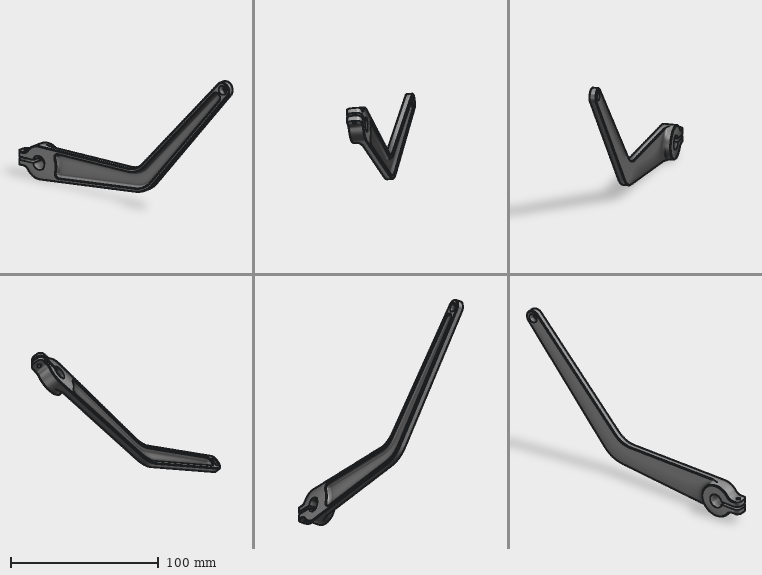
import cadquery as cq
import math


length = 183.5
height = 101.7
clamp_thickness = 10.5
arm_thickness = 5.0
edge_break = 0.5

boss_radius = 12.0
bore_radius = 5.0
lug_reach = 18.9
lug_half_height = 4.8
lug_blend_radius = 4.8
lug_end_radius = 3.9
slot_width = 2.2
screw_diameter = 2.5
screw_inset = 3.9
boss_base_fillet = 2.0

tip_radius = 5.5
tip_hole_radius = 3.1
tip_x = length - lug_reach - tip_radius
tip_z = height - boss_radius - tip_radius
upper_angle = 47.0
lower_far_angle = 49.8
lower_near_angle = 5.6
inner_bend_radius = 17.5
outer_bend_radius = 23.3

pocket_inset = 2.8
pocket_depth = 3.0
pocket_upright_wall = 0.04
pocket_floor_fillet = pocket_depth - edge_break - pocket_upright_wall
pocket_corner_radius = 2.8
pocket_boss_gap = 15.0
pocket_tip_setback = 8.0


def direction(angle):
    return math.cos(math.radians(angle)), math.sin(math.radians(angle))


def along(point, angle, distance):
    dx, dz = direction(angle)
    return point[0] + distance * dx, point[1] + distance * dz


def crossing(p, p_angle, q, q_angle):
    """Point where the line through p meets the line through q."""
    px, pz = direction(p_angle)
    qx, qz = direction(q_angle)
    distance = ((q[0] - p[0]) * qz - (q[1] - p[1]) * qx) / (px * qz - pz * qx)
    return along(p, p_angle, distance)


def bend(corner, in_angle, out_angle, radius):
    """Start, middle and end of the arc that rounds a left-turning corner."""
    half_turn = math.radians(out_angle - in_angle) / 2
    tangent = radius * math.tan(half_turn)
    to_middle = radius * (1 / math.cos(half_turn) - 1)
    middle = along(corner, (in_angle + out_angle) / 2 + 90, to_middle)
    return along(corner, in_angle, -tangent), middle, along(corner, out_angle, tangent)


def prism(sketch, thickness):
    """Extrude an XZ sketch from the front face towards +Y."""
    return sketch.close().extrude(-thickness)


def arm_prism(inset, tip_setback, thickness):
    """The arm outline moved inwards by inset, its tip round moved back along the arm."""
    start_radius = boss_radius - inset
    axis_angle = (upper_angle + lower_far_angle) / 2
    half_taper = math.radians(lower_far_angle - upper_angle) / 2
    tip = along((tip_x, tip_z), axis_angle, -tip_setback)
    end_radius = tip_radius - inset + tip_setback * math.sin(half_taper)

    top_start = (0, start_radius)
    bottom_start = along((0, 0), lower_near_angle - 90, start_radius)
    upper_tip = along(tip, upper_angle + 90, end_radius)
    lower_tip = along(tip, lower_far_angle - 90, end_radius)

    inner_corner = crossing(top_start, 0, upper_tip, upper_angle)
    outer_corner = crossing(bottom_start, lower_near_angle, lower_tip, lower_far_angle)
    inner = bend(inner_corner, 0, upper_angle, inner_bend_radius + inset)
    outer = bend(outer_corner, lower_near_angle, lower_far_angle, outer_bend_radius - inset)

    sketch = (
        cq.Workplane("XZ")
        .moveTo(*top_start)
        .lineTo(*inner[0])
        .threePointArc(inner[1], inner[2])
        .lineTo(*upper_tip)
        .threePointArc(along(tip, axis_angle, end_radius), lower_tip)
        .lineTo(*outer[2])
        .threePointArc(outer[1], outer[0])
        .lineTo(*bottom_start)
        .threePointArc((-start_radius, 0), top_start)
    )
    return prism(sketch, thickness)


def cylinder(x, z, radius, thickness):
    return cq.Workplane("XZ").center(x, z).circle(radius).extrude(-thickness)


def pocket():
    blank = arm_prism(pocket_inset, pocket_tip_setback, pocket_depth)
    blank = blank.cut(cylinder(0, 0, pocket_boss_gap, pocket_depth))
    beside_boss = cq.selectors.BoxSelector(
        (0, 0, -boss_radius), (pocket_boss_gap, pocket_depth, boss_radius)
    )
    blank = blank.edges("|Y").edges(beside_boss).fillet(pocket_corner_radius)
    return blank.faces(">Y").edges().fillet(pocket_floor_fillet)


def arm():
    plate = arm_prism(0, 0, arm_thickness).cut(pocket())
    return plate.faces("<Y or >Y").edges().chamfer(edge_break)


def clamp():
    """Boss and lug, blended by concave arcs, with the lug end rounded."""
    blend_z = lug_half_height + lug_blend_radius
    blend_x = -math.sqrt((boss_radius + lug_blend_radius) ** 2 - blend_z ** 2)
    blend_angle = math.degrees(math.atan2(blend_z, blend_x))
    boss_joint = along((0, 0), blend_angle, boss_radius)
    middle_angle = (blend_angle - 180 - 90) / 2
    blend_middle = along((blend_x, blend_z), middle_angle, lug_blend_radius)

    def mirrored(point):
        return point[0], -point[1]

    sketch = (
        cq.Workplane("XZ")
        .moveTo(-lug_reach, lug_half_height)
        .lineTo(blend_x, lug_half_height)
        .threePointArc(blend_middle, boss_joint)
        .threePointArc((boss_radius, 0), mirrored(boss_joint))
        .threePointArc(mirrored(blend_middle), (blend_x, -lug_half_height))
        .lineTo(-lug_reach, -lug_half_height)
    )
    body = prism(sketch, clamp_thickness).faces("<Y or >Y").edges().chamfer(edge_break)
    rounded_end = (
        cq.Workplane("XY")
        .box(lug_reach + boss_radius, clamp_thickness, 2 * boss_radius, centered=(False, False, True))
        .translate((-lug_reach, 0, 0))
        .edges("|Z and <X")
        .fillet(lug_end_radius)
    )
    return body.intersect(rounded_end)


def boss_base():
    """Concave flare where the boss rises from the back of the arm, kept within the arm outline."""
    flare_radius = boss_radius + boss_base_fillet
    flare_top = arm_thickness + boss_base_fillet
    arc_offset = boss_base_fillet * (1 - math.sqrt(0.5))
    flare = (
        cq.Workplane("XY")
        .moveTo(bore_radius, arm_thickness - edge_break)
        .lineTo(flare_radius, arm_thickness - edge_break)
        .lineTo(flare_radius, arm_thickness)
        .threePointArc((boss_radius + arc_offset, arm_thickness + arc_offset), (boss_radius, flare_top))
        .lineTo(bore_radius, flare_top)
        .close()
        .revolve(360, (0, 0, 0), (0, 1, 0))
    )
    return flare.intersect(arm_prism(0, 0, clamp_thickness))


def clamp_slot():
    return (
        cq.Workplane("XY")
        .box(lug_reach, clamp_thickness, slot_width, centered=(False, False, True))
        .translate((-lug_reach, 0, 0))
    )


def screw_hole():
    return (
        cq.Workplane("XY", origin=(screw_inset - lug_reach, clamp_thickness / 2, -boss_radius))
        .circle(screw_diameter / 2)
        .extrude(2 * boss_radius)
    )


result = arm().union(clamp()).union(boss_base())
result = result.cut(cylinder(0, 0, bore_radius, clamp_thickness))
result = result.cut(cylinder(tip_x, tip_z, tip_hole_radius, arm_thickness))
result = result.cut(clamp_slot()).cut(screw_hole())